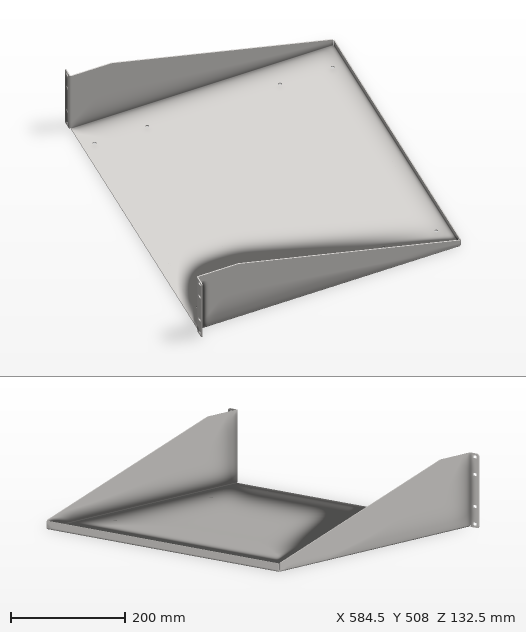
import cadquery as cq
import math

overall_width = 584.5
overall_depth = 508.0
overall_height = 132.5

sheet = 2.0
inner_bend = 1.0
outer_bend = inner_bend + sheet

tray_width = 544.5
lip_height = 15.0
level_top_depth = 80.0
floor_front = 2.5
corner_gap = 0.3

ear_corner_radius = 4.0
slot_length = 9.5
slot_height = 5.0
slot_edge_distance = 9.5
slot_offsets = (28.5, 60.0)

hole_diameter = 6.5
hole_spacing_x = 443.0
hole_pattern_middle_y = 253.5
hole_offsets_y = (127.5, 228.5)

tray_side = tray_width / 2
wall_inside = tray_side - sheet
ear_start = wall_inside + outer_bend
back_bend_start = overall_depth - outer_bend


def bent_strip(workplane, flat_end, outer_face, top):
    """Section of a floor strip from flat_end that bends up into a wall reaching top."""
    bend_start = outer_face - outer_bend
    diagonal = math.cos(math.pi / 4)
    outer_middle = (bend_start + outer_bend * diagonal, outer_bend * (1 - diagonal))
    inner_middle = (bend_start + inner_bend * diagonal, outer_bend - inner_bend * diagonal)
    return (
        cq.Workplane(workplane)
        .moveTo(flat_end, 0)
        .lineTo(bend_start, 0)
        .threePointArc(outer_middle, (outer_face, outer_bend))
        .lineTo(outer_face, top)
        .lineTo(outer_face - sheet, top)
        .lineTo(outer_face - sheet, outer_bend)
        .threePointArc(inner_middle, (bend_start, sheet))
        .lineTo(flat_end, sheet)
        .close()
    )


def make_floor_and_lip():
    """Floor between the side bends, bent up along the back edge."""
    width = 2 * (wall_inside - corner_gap)
    strip = bent_strip("YZ", floor_front, overall_depth, lip_height)
    floor = strip.extrude(width / 2, both=True)
    bend_clearance = inner_bend - corner_gap
    for side in (-1, 1):
        clearance = (
            cq.Workplane("XY")
            .box(bend_clearance, back_bend_start, lip_height, centered=(True, False, False))
            .translate((side * (width - bend_clearance) / 2, 0, 0))
        )
        floor = floor.cut(clearance)
    return floor


def make_side_wall():
    """Right side wall with its floor bend and the sloping top."""
    strip = bent_strip("XZ", 0, tray_side, overall_height)
    wall = strip.extrude(-back_bend_start)
    outline = (
        cq.Workplane("YZ")
        .moveTo(outer_bend, outer_bend)
        .lineTo(outer_bend, overall_height)
        .lineTo(level_top_depth, overall_height)
        .lineTo(overall_depth, lip_height)
        .lineTo(overall_depth, 0)
        .lineTo(floor_front, 0)
        .lineTo(floor_front, outer_bend)
        .close()
        .extrude(tray_side)
    )
    return wall.intersect(outline)


def make_front_bend():
    """Quarter bend that turns the right side wall outward into the ear."""
    ring = (
        cq.Workplane("XY", origin=(ear_start, outer_bend, outer_bend))
        .circle(outer_bend)
        .circle(inner_bend)
        .extrude(overall_height - outer_bend)
    )
    quarter = (
        cq.Workplane("XY")
        .box(outer_bend, outer_bend, overall_height, centered=False)
        .translate((wall_inside, 0, 0))
    )
    return ring.intersect(quarter)


def make_ear():
    """Right mounting ear with rounded outer corners and four rectangular slots."""
    ear_width = overall_width / 2 - ear_start
    ear = (
        cq.Workplane("XY")
        .box(ear_width, sheet, overall_height, centered=False)
        .translate((ear_start, 0, 0))
        .edges("|Y and >X")
        .fillet(ear_corner_radius)
    )
    slot_x = overall_width / 2 - slot_edge_distance
    slot_points = [
        (slot_x, overall_height / 2 + direction * offset)
        for offset in slot_offsets
        for direction in (-1, 1)
    ]
    slots = (
        cq.Workplane("XZ")
        .pushPoints(slot_points)
        .rect(slot_length, slot_height)
        .extrude(-sheet)
    )
    return ear.cut(slots)


def make_floor_holes():
    """Cutters for the two rows of floor holes."""
    hole_points = [
        (side * hole_spacing_x / 2, hole_pattern_middle_y + direction * offset)
        for side in (-1, 1)
        for offset in hole_offsets_y
        for direction in (-1, 1)
    ]
    return cq.Workplane("XY").pushPoints(hole_points).circle(hole_diameter / 2).extrude(sheet)


right_side = make_side_wall().union(make_front_bend()).union(make_ear())
left_side = right_side.mirror("YZ")
result = make_floor_and_lip().union(right_side).union(left_side).cut(make_floor_holes())